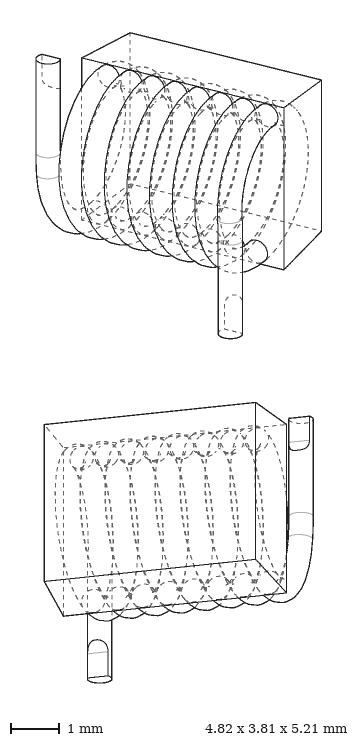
import cadquery as cq
import math

total_length = 4.82
total_height = 5.21

wire_diameter = 0.505
coil_outer_diameter = 3.68
turns = 8
bend_shift = 0.013
bend_height = 0.48

block_length = 4.785
block_front_y = 0.2
block_back_y = 1.97
block_taper = 0.125

flat_depth = 0.125
flat_runout = 0.24

wire_radius = wire_diameter / 2
coil_radius = coil_outer_diameter / 2 - wire_radius
lead_x = total_length / 2 - wire_radius
coil_half_length = lead_x - bend_shift
pitch = 2 * coil_half_length / turns
wire_rise = pitch / (2 * math.pi * coil_radius)
flat_runout_radius = (flat_runout**2 + flat_depth**2) / (2 * flat_depth)
flat_start_z = coil_outer_diameter / 2


def make_coil():
    """Wind the helix from the -X lead, heading down, around the X axis to the +X lead."""
    path = cq.Wire.makeHelix(pitch, 2 * coil_half_length, coil_radius)
    path = path.rotate(cq.Vector(0, 0, 0), cq.Vector(0, 1, 0), 90)
    path = path.rotate(cq.Vector(0, 0, 0), cq.Vector(1, 0, 0), -90)
    path = path.translate(cq.Vector(-coil_half_length, 0, 0))
    start = path.startPoint()
    section = cq.Plane(origin=start, xDir=(0, 1, 0), normal=path.tangentAt(0))
    return cq.Workplane(section).circle(wire_radius).sweep(cq.Workplane(path), isFrenet=True)


def make_bend():
    """Join the slanted coil start to the upright lead on the -X side."""
    path = cq.Edge.makeSpline(
        [cq.Vector(-coil_half_length, -coil_radius, 0), cq.Vector(-lead_x, -coil_radius, bend_height)],
        tangents=[cq.Vector(-wire_rise, 0, 1), cq.Vector(0, 0, 1)],
    )
    section = cq.Plane(origin=path.startPoint(), xDir=(0, 1, 0), normal=path.tangentAt(0))
    return cq.Workplane(section).circle(wire_radius).sweep(cq.Workplane(cq.Wire.assembleEdges([path])))


def make_lead():
    """Upright lead on the -X side, with a flat on its inner side above the block."""
    lead = (
        cq.Workplane("XY", origin=(-lead_x, -coil_radius, bend_height))
        .circle(wire_radius)
        .extrude(total_height / 2 - bend_height)
    )
    inner_y = -coil_radius + wire_radius
    flat_y = inner_y - flat_depth
    flat_cut = (
        cq.Workplane("YZ", origin=(-lead_x - wire_radius, 0, 0))
        .moveTo(flat_y, total_height / 2)
        .lineTo(flat_y, flat_start_z + flat_runout)
        .radiusArc((inner_y, flat_start_z), -flat_runout_radius)
        .lineTo(inner_y, total_height / 2)
        .close()
        .extrude(wire_diameter)
    )
    return lead.cut(flat_cut)


def make_winding():
    """One wire: the coil with a bend and a lead at each end."""
    wire_end = make_bend().union(make_lead())
    opposite_end = wire_end.rotate((0, 0, 0), (0, 1, 0), 180)
    return make_coil().union(wire_end).union(opposite_end)


def make_block(winding):
    """Tapered block with the back of the coil embedded in it."""
    depth = block_back_y - block_front_y
    block = (
        cq.Workplane("XZ", origin=(0, block_front_y, 0))
        .rect(block_length, coil_outer_diameter)
        .workplane(offset=-depth)
        .rect(block_length - 2 * block_taper, coil_outer_diameter - 2 * block_taper)
        .loft(ruled=True)
    )
    return block.cut(winding)


winding = make_winding()
block = make_block(winding)
result = cq.Compound.makeCompound([winding.val(), block.val()])